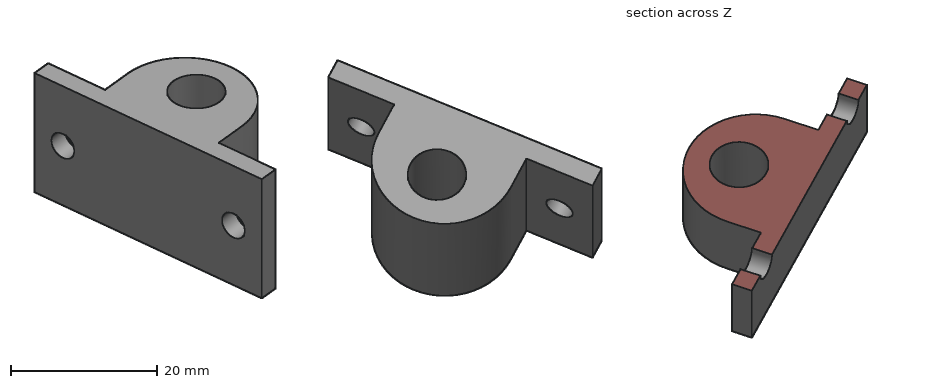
import cadquery as cq

plate_length = 40.0
plate_thickness = 3.0
height = 20.0

boss_width = 20.0
boss_reach = 18.0
boss_radius = boss_width / 2
boss_center_y = boss_reach - boss_radius

bore_diameter = 8.0
bore_center_y = 10.5

screw_hole_diameter = 4.0
screw_hole_spacing = 30.0


def make_plate():
    return cq.Workplane("XY").box(
        plate_length, plate_thickness, height, centered=(True, False, False)
    )


def make_boss():
    return (
        cq.Workplane("XY")
        .moveTo(-boss_radius, 0)
        .lineTo(boss_radius, 0)
        .lineTo(boss_radius, boss_center_y)
        .threePointArc((0, boss_reach), (-boss_radius, boss_center_y))
        .close()
        .extrude(height)
    )


def make_bore():
    return (
        cq.Workplane("XY")
        .center(0, bore_center_y)
        .circle(bore_diameter / 2)
        .extrude(height)
    )


def make_screw_holes():
    half_spacing = screw_hole_spacing / 2
    return (
        cq.Workplane("XZ")
        .pushPoints([(-half_spacing, height / 2), (half_spacing, height / 2)])
        .circle(screw_hole_diameter / 2)
        .extrude(-plate_thickness)
    )


result = make_plate().union(make_boss()).cut(make_bore()).cut(make_screw_holes())